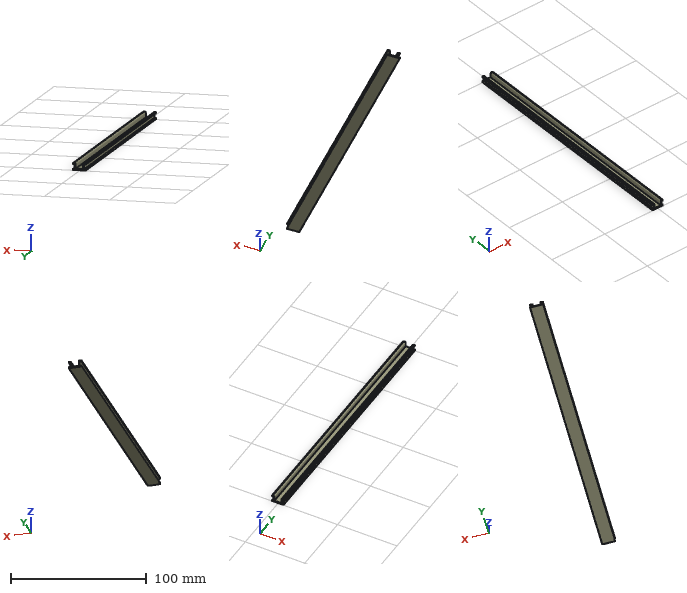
import cadquery as cq
import math

length = 200.0
width = 10.0
height = 5.5
half_width = width / 2

base_thickness = 1.2
edge_radius = base_thickness / 2
edge_center_x = half_width - edge_radius

wall_thickness = 1.0
wall_outer = 3.8
wall_inner = wall_outer - wall_thickness
bend_inner_radius = 0.5
bend_outer_radius = bend_inner_radius + wall_thickness
bend_x = wall_outer + bend_inner_radius
bend_z = height - bend_outer_radius

tip_drop = 0.5
tip_undercut = 0.2
lip_underside = height - wall_thickness


def bend_middle(radius):
    """Point halfway round the quarter-turn bend."""
    offset = radius * math.sqrt(0.5)
    return bend_x - offset, bend_z + offset


half_section = (
    cq.Workplane("XZ")
    .lineTo(edge_center_x, 0)
    .threePointArc((half_width, edge_radius), (edge_center_x, base_thickness))
    .lineTo(wall_outer, base_thickness)
    .lineTo(wall_outer, bend_z)
    .threePointArc(bend_middle(bend_inner_radius), (bend_x, lip_underside))
    .lineTo(half_width - tip_undercut, lip_underside)
    .lineTo(half_width, height - tip_drop)
    .lineTo(bend_x, height)
    .threePointArc(bend_middle(bend_outer_radius), (wall_inner, bend_z))
    .lineTo(wall_inner, base_thickness)
    .lineTo(0, base_thickness)
    .close()
)

half_channel = half_section.extrude(length / 2, both=True)
result = half_channel.union(half_channel.mirror("YZ")).clean()